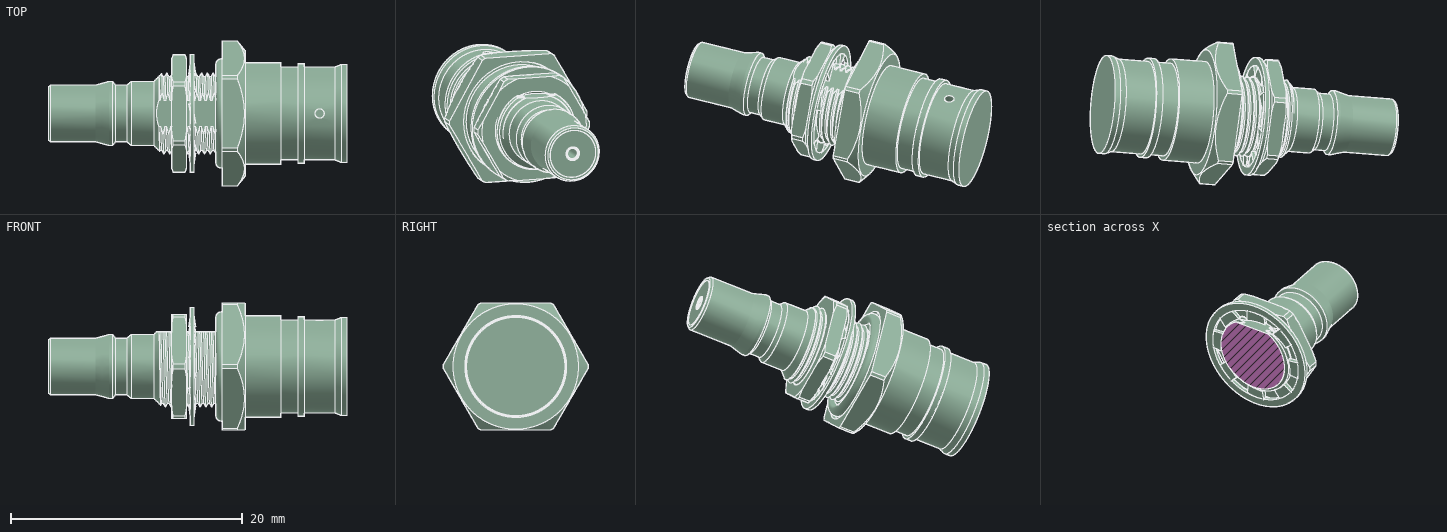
import cadquery as cq
import math


nose_radius = 2.46
nose_chamfer_length = 0.2
nose_tip_radius = 2.29
tip_recess_radius = 2.07
tip_recess_depth = 0.03
bead_radius = 2.78
bead_start = 4.08
bead_crest_start = 5.25
bead_crest_end = 5.54
bead_end = 5.8
shank_chamfer_start = 6.78
shank_start = 7.17

socket_radius = 0.45
socket_depth = 4.0
socket_chamfer = 0.07
socket_entry_radius = 0.6
socket_entry_depth = 0.1

thread_start = 9.12
thread_crest_radius = 3.51
thread_root_radius = 3.2
thread_pitch = 0.5
thread_flank_angle = 30.0
thread_root_overlap = 0.05
thread_crest_x = 10.23
flat_height = 3.0

flange_start = 15.0
flange_thickness = 2.0
flange_end = flange_start + flange_thickness
flange_across_flats = 11.0
flange_corner_radius = 6.26
flange_chamfer_length = 0.68
flange_rear_radius = 5.42

oring_section_radius = 0.5
oring_center_radius = 4.23
oring_center_x = flange_start - 0.05
oring_front = oring_center_x - oring_section_radius
seat_outer_radius = oring_center_radius + oring_section_radius + 0.25
collar_radius = oring_center_radius - oring_section_radius
collar_start = oring_front + 0.35
seat_bottom = oring_center_x + oring_section_radius

barrel_radius = 4.4
barrel_end = 20.08
neck_radius = 4.02
band_start = 21.54
band_width = 0.56
band_radius = 4.31
lip_flare_start = 24.74
lip_start = 25.3
lip_radius = 4.25
overall_length = 25.8
vent_x = 23.42
vent_radius = 0.4
vent_depth = 1.0

nut_start = 10.65
nut_thickness = 1.28
nut_end = nut_start + nut_thickness
nut_across_flats = 9.0
nut_corner_radius = 5.08
nut_chamfer_length = 0.13
nut_face_radius = 4.74
nut_bore_radius = 3.05
nut_countersink_radius = 3.28

washer_center_x = 12.42
washer_thickness = 0.34
washer_outer_radius = 5.1
washer_inner_radius = 4.4
tooth_count = 8
tooth_tip_radius = thread_crest_radius + 0.02
tooth_width = 1.7
tooth_twist = 12.0
tooth_root_overlap = 0.1
tooth_root_thickness = 0.9 * washer_thickness


def revolve_profile(points):
    """Solid turned about the X axis from (x, radius) points."""
    return cq.Workplane("XY").polyline(points).close().revolve(360, (0, 0, 0), (1, 0, 0))


def cylinder(start, end, radius):
    return cq.Workplane("YZ").workplane(offset=start).circle(radius).extrude(end - start)


def hexagon(start, thickness, across_flats):
    """Hexagonal prism along X with two of its flats facing +Z and -Z."""
    across_corners = across_flats / math.cos(math.radians(30))
    return cq.Workplane("YZ").workplane(offset=start).polygon(6, across_corners).extrude(thickness)


def helix_edge(length, radius, shift):
    """One thread-pitch helix about Z, moved along Z by the shift."""
    return cq.Wire.makeHelix(thread_pitch, length, radius, center=cq.Vector(0, 0, shift)).Edges()[0]


def make_thread():
    """Right-handed helical thread with a tapered front end and a flat on top."""
    base_radius = thread_root_radius - thread_root_overlap
    half_base = (thread_crest_radius - base_radius) * math.tan(math.radians(thread_flank_angle))
    turns_ahead = math.ceil((thread_crest_x - thread_start) / thread_pitch)
    helix_start = thread_crest_x - turns_ahead * thread_pitch
    helix_length = collar_start - helix_start + thread_pitch

    crest = helix_edge(helix_length, thread_crest_radius, 0)
    front_base = helix_edge(helix_length, base_radius, -half_base)
    rear_base = helix_edge(helix_length, base_radius, half_base)
    sides = [
        cq.Face.makeRuledSurface(front_base, crest),
        cq.Face.makeRuledSurface(crest, rear_base),
        cq.Face.makeRuledSurface(rear_base, front_base),
    ]
    ends = []
    for at_end in (0, 1):
        corners = [edge.positionAt(at_end) for edge in (front_base, crest, rear_base)]
        ends.append(cq.Face.makeFromWires(cq.Wire.makePolygon(corners, close=True)))
    ridge = (
        cq.Workplane(obj=cq.Solid.makeSolid(cq.Shell.makeShell(sides + ends)))
        .rotate((0, 0, 0), (1, 1, 1), 120)
        .translate((helix_start, 0, 0))
    )

    taper_end = thread_start + thread_crest_radius - bead_radius
    envelope = revolve_profile([
        (thread_start, 0),
        (thread_start, bead_radius),
        (taper_end, thread_crest_radius),
        (collar_start, thread_crest_radius),
        (collar_start, 0),
    ])
    core = cylinder(thread_start, collar_start, thread_root_radius)
    flat_cut = (
        cq.Workplane("XY")
        .workplane(offset=flat_height)
        .center((thread_start + collar_start) / 2, 0)
        .rect(collar_start - thread_start, 2 * thread_crest_radius)
        .extrude(thread_crest_radius)
    )
    return core.union(ridge).intersect(envelope.cut(flat_cut))


def make_flange():
    """Hexagonal flange with rounded corners, a conical rear chamfer and the O-ring seat."""
    envelope = revolve_profile([
        (flange_start, 0),
        (flange_start, flange_corner_radius),
        (flange_end - flange_chamfer_length, flange_corner_radius),
        (flange_end, flange_rear_radius),
        (flange_end, 0),
    ])
    seat = cylinder(flange_start, seat_bottom, seat_outer_radius)
    return hexagon(flange_start, flange_thickness, flange_across_flats).intersect(envelope).cut(seat)


def make_housing():
    nose = revolve_profile([
        (tip_recess_depth, 0),
        (tip_recess_depth, tip_recess_radius),
        (0, tip_recess_radius),
        (0, nose_tip_radius),
        (nose_chamfer_length, nose_radius),
        (bead_start, nose_radius),
        (bead_crest_start, bead_radius),
        (bead_crest_end, bead_radius),
        (bead_end, nose_radius),
        (shank_chamfer_start, nose_radius),
        (shank_start, bead_radius),
        (thread_start, bead_radius),
        (thread_start, 0),
    ])
    barrel = revolve_profile([
        (flange_end, 0),
        (flange_end, barrel_radius),
        (barrel_end, barrel_radius),
        (barrel_end, neck_radius),
        (band_start, neck_radius),
        (band_start, band_radius),
        (band_start + band_width, band_radius),
        (band_start + band_width, neck_radius),
        (lip_flare_start, neck_radius),
        (lip_start, lip_radius),
        (overall_length, lip_radius),
        (overall_length, 0),
    ])
    collar = cylinder(collar_start, seat_bottom, collar_radius)
    socket = revolve_profile([
        (tip_recess_depth, 0),
        (tip_recess_depth, socket_entry_radius),
        (socket_entry_depth, socket_entry_radius),
        (socket_entry_depth, socket_radius + socket_chamfer),
        (socket_entry_depth + socket_chamfer, socket_radius),
        (socket_depth, socket_radius),
        (socket_depth, 0),
    ])
    vent = (
        cq.Workplane("XY")
        .workplane(offset=neck_radius - vent_depth)
        .center(vent_x, 0)
        .circle(vent_radius)
        .extrude(2 * vent_depth)
    )
    shell = nose.union(make_thread()).union(collar).union(make_flange()).union(barrel)
    return shell.cut(socket).cut(vent)


def make_oring():
    return (
        cq.Workplane("XY")
        .center(oring_center_x, oring_center_radius)
        .circle(oring_section_radius)
        .revolve(360, (0, -oring_center_radius, 0), (1, -oring_center_radius, 0))
    )


def make_nut(housing):
    """Chamfered hexagon nut whose bore takes the shape of the housing thread."""
    countersink_depth = nut_countersink_radius - nut_bore_radius
    envelope = revolve_profile([
        (nut_start, nut_countersink_radius),
        (nut_start, nut_face_radius),
        (nut_start + nut_chamfer_length, nut_corner_radius),
        (nut_end - nut_chamfer_length, nut_corner_radius),
        (nut_end, nut_face_radius),
        (nut_end, nut_countersink_radius),
        (nut_end - countersink_depth, nut_bore_radius),
        (nut_start + countersink_depth, nut_bore_radius),
    ])
    return hexagon(nut_start, nut_thickness, nut_across_flats).intersect(envelope).cut(housing)


def make_washer():
    """Flat ring with inward teeth that twist about their radial axes towards the tips."""
    ring_start = washer_center_x - washer_thickness / 2
    ring_end = ring_start + washer_thickness
    washer = cylinder(ring_start, ring_end, washer_outer_radius)
    washer = washer.cut(cylinder(ring_start, ring_end, washer_inner_radius))

    root_radius = washer_inner_radius + tooth_root_overlap
    tooth = (
        cq.Workplane("XY")
        .workplane(offset=root_radius)
        .center(washer_center_x, 0)
        .rect(tooth_root_thickness, tooth_width)
        .workplane(offset=thread_root_radius - root_radius)
        .transformed(rotate=(0, 0, tooth_twist))
        .rect(washer_thickness, tooth_width)
        .loft(ruled=True)
    )
    tip_bore = cylinder(ring_start - tooth_width, ring_end + tooth_width, tooth_tip_radius)
    tooth = tooth.cut(tip_bore)
    for index in range(tooth_count):
        washer = washer.union(tooth.rotate((0, 0, 0), (1, 0, 0), index * 360 / tooth_count))
    return washer


housing = make_housing()
oring = make_oring()
nut = make_nut(housing)
washer = make_washer()

result = cq.Compound.makeCompound([body.solids().val() for body in (housing, oring, nut, washer)])